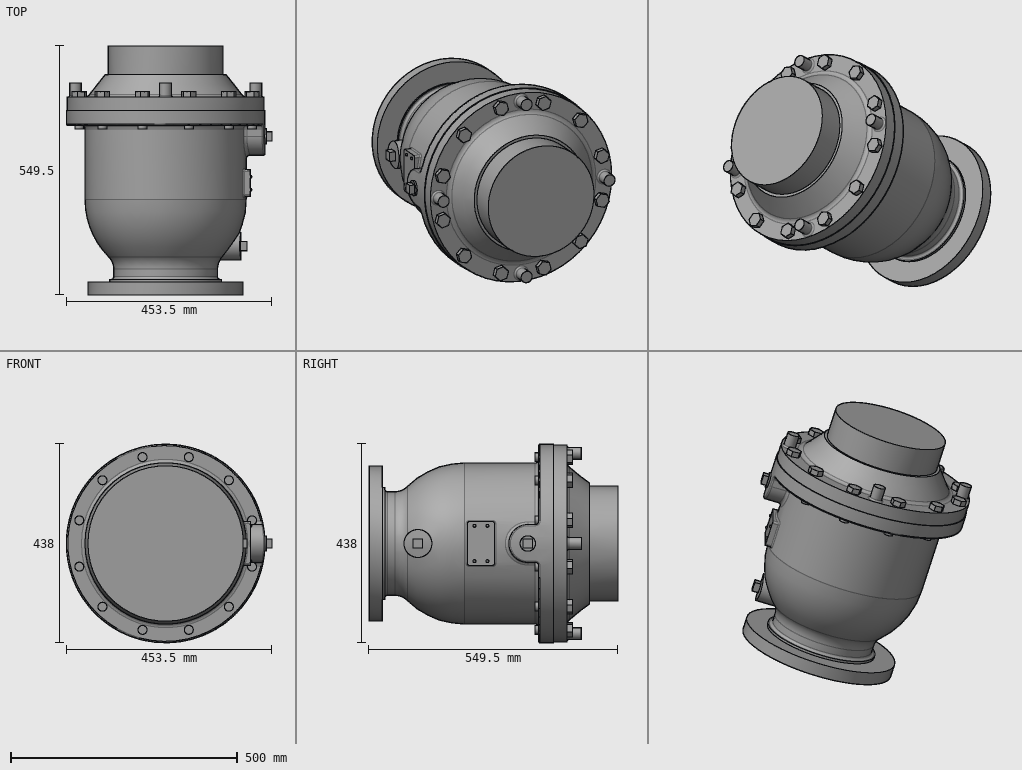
import cadquery as cq
import math

OVERALL_LENGTH = 549.5

OUTLET_RADIUS = 171.5
OUTLET_THICKNESS = 29.0
COLLAR_RADIUS = 123.5
COLLAR_THICKNESS = 5.5
COLLAR_FILLET = 6.0
NECK_LENGTH = 22.5
THROAT_RADIUS = 38.5

BARREL_RADIUS = 178.0
BOWL_ANGLE = math.radians(45)
FLANGE_FILLET = 7.5

JOINT_Y = 406.5
HOUSING_FLANGE_RADIUS = 219.0
HOUSING_FLANGE_THICKNESS = 32.5
HOUSING_RIM_ROUNDING = 3.5
COVER_FLANGE_RADIUS = 217.5
COVER_FLANGE_THICKNESS = 30.0
BOLT_COUNT = 12
BOLT_CIRCLE_RADIUS = 197.0
BOLT_RADIUS = 10.0
BOLT_PROTRUSION = 8.0
NUT_ACROSS_CORNERS = 33.0
NUT_HEIGHT = 12.0
PEG_COUNT = 4
PEG_RADIUS = 13.0
PEG_FILLET = 4.0
PEG_CIRCLE_RADIUS = 199.0
PEG_HEIGHT = 31.5

CONE_BASE_RADIUS = 172.5
CONE_TOP_RADIUS = 133.5
CONE_FILLET = 14.0
SPIGOT_RADIUS = 127.0
SPIGOT_LENGTH = 63.0

SHAFT_Y = 350.0
SHAFT_BOSS_RADIUS = 42.0
WASHER_RADIUS = 17.0
WASHER_THICKNESS = 3.5
SHAFT_END_X = 234.5

DRAIN_Y = 107.5
DRAIN_BOSS_RADIUS = 31.0
DRAIN_BOSS_REACH = 166.0
DRAIN_END_X = 179.5

PLUG_SIZE = 21.0

PAD_Y = 246.5
PAD_LENGTH = 59.5
PAD_WIDTH = 96.5
PAD_FACE_X = 187.0
PAD_CORNER_RADIUS = 4.5
PAD_FILLET = 3.5
RIVET_SPACING_Y = 28.5
RIVET_SPACING_Z = 78.0
RIVET_RADIUS = 3.5

TOLERANCE = 0.05
BOSS_START_X = 82.5
PAD_START_X = 154.0

collar_y = OUTLET_THICKNESS + COLLAR_THICKNESS
throat_start_y = collar_y + NECK_LENGTH
throat_end_y = throat_start_y + THROAT_RADIUS * math.sin(BOWL_ANGLE)
bowl_end_radius = BARREL_RADIUS * math.cos(BOWL_ANGLE)
neck_radius = bowl_end_radius - THROAT_RADIUS * (1 - math.cos(BOWL_ANGLE))
bowl_center_y = throat_end_y + BARREL_RADIUS * math.sin(BOWL_ANGLE)
flange_face_y = JOINT_Y - HOUSING_FLANGE_THICKNESS
cover_face_y = JOINT_Y + COVER_FLANGE_THICKNESS
spigot_y = OVERALL_LENGTH - SPIGOT_LENGTH


def plane_at_y(y):
    """Workplane square to the valve axis: local x is X, local y is Z, normal is -Y."""
    return cq.Workplane("XZ", origin=(0, y, 0))


def plane_at_x(x, y):
    """Workplane facing +X: local x is Y, local y is Z."""
    return cq.Workplane("YZ", origin=(x, y, 0))


def revolve_about_axis(profile):
    """Turned solid whose seam lies on the -X side, clear of the bosses."""
    return profile.close().revolve(360, (0, 0), (0, 1)).rotate((0, 0, 0), (0, 1, 0), 180)


def arc_point(center, radius, angle):
    return (center[0] + radius * math.cos(angle), center[1] + radius * math.sin(angle))


def bolt_pattern(y):
    return plane_at_y(y).polarArray(BOLT_CIRCLE_RADIUS, 180 / BOLT_COUNT, 360, BOLT_COUNT)


def is_circle(edge, radius):
    return edge.geomType() == "CIRCLE" and abs(edge.radius() - radius) < TOLERANCE



def turned_housing():
    collar_center = (neck_radius + COLLAR_FILLET, collar_y + COLLAR_FILLET)
    throat_center = (neck_radius + THROAT_RADIUS, throat_start_y)
    throat_mid = arc_point(throat_center, THROAT_RADIUS, math.pi - BOWL_ANGLE / 2)
    bowl_mid = arc_point((0, bowl_center_y), BARREL_RADIUS, -BOWL_ANGLE / 2)
    profile = (
        cq.Workplane("XY")
        .lineTo(OUTLET_RADIUS, 0)
        .lineTo(OUTLET_RADIUS, OUTLET_THICKNESS)
        .lineTo(COLLAR_RADIUS, OUTLET_THICKNESS)
        .lineTo(COLLAR_RADIUS, collar_y)
        .lineTo(collar_center[0], collar_y)
        .threePointArc(arc_point(collar_center, COLLAR_FILLET, math.radians(225)),
                       (neck_radius, collar_center[1]))
        .lineTo(neck_radius, throat_start_y)
        .threePointArc(throat_mid, (bowl_end_radius, throat_end_y))
        .threePointArc(bowl_mid, (BARREL_RADIUS, bowl_center_y))
        .lineTo(BARREL_RADIUS, flange_face_y)
        .lineTo(HOUSING_FLANGE_RADIUS, flange_face_y)
        .lineTo(HOUSING_FLANGE_RADIUS, JOINT_Y)
        .lineTo(0, JOINT_Y)
    )
    return revolve_about_axis(profile)


def boss_limit(radius):
    """Cylinder on the valve axis that rounds off the outer end of a side boss."""
    return plane_at_y(0).circle(radius).extrude(-JOINT_Y)


def shaft_boss():
    """Round-bottomed boss whose flat sides run up into the flange."""
    flat_length = flange_face_y - SHAFT_Y + HOUSING_FLANGE_THICKNESS / 2
    reach = HOUSING_FLANGE_RADIUS - BOSS_START_X
    start = plane_at_x(BOSS_START_X, SHAFT_Y)
    boss = start.circle(SHAFT_BOSS_RADIUS).extrude(reach)
    sides = (start.center(flat_length / 2, 0)
             .rect(flat_length, 2 * SHAFT_BOSS_RADIUS).extrude(reach))
    return boss.union(sides).intersect(boss_limit(HOUSING_FLANGE_RADIUS))


def on_flange_face(edge):
    return abs(edge.Center().y - flange_face_y) < TOLERANCE


def is_flange_root(edge):
    """Corner between the flange face and the barrel or the sides of the shaft boss."""
    if not on_flange_face(edge):
        return False
    return is_circle(edge, BARREL_RADIUS) or edge.geomType() == "LINE"


def is_shaft_boss_root(edge):
    """Corner between the shaft boss and the barrel."""
    center = edge.Center()
    on_barrel = BARREL_RADIUS - 5.5 < center.x < BARREL_RADIUS
    return on_barrel and bowl_center_y < center.y < flange_face_y


def is_barrel_corner(edge):
    return is_flange_root(edge) or is_shaft_boss_root(edge)


def is_flange_rim(edge):
    """Lower flange edge, apart from the stretch that runs flush into the shaft boss."""
    flush_x = HOUSING_FLANGE_RADIUS - 5.5
    return on_flange_face(edge) and is_circle(edge, HOUSING_FLANGE_RADIUS) and edge.Center().x < flush_x


def is_pad_root(edge):
    """Corner between the name plate pad and the barrel."""
    center = edge.Center()
    near_pad = abs(center.y - PAD_Y) < PAD_LENGTH / 2 + TOLERANCE
    on_barrel = edge.BoundingBox().xmax < BARREL_RADIUS + TOLERANCE
    return near_pad and on_barrel and PAD_START_X < center.x < BARREL_RADIUS


def square_end(y, base_x, end_x):
    return plane_at_x(base_x, y).rect(PLUG_SIZE, PLUG_SIZE).extrude(end_x - base_x)


def add_shaft(housing):
    washer_x = HOUSING_FLANGE_RADIUS + WASHER_THICKNESS
    washer = plane_at_x(BOSS_START_X, SHAFT_Y).circle(WASHER_RADIUS).extrude(washer_x - BOSS_START_X)
    return housing.union(washer).union(square_end(SHAFT_Y, washer_x, SHAFT_END_X))


def add_drain(housing):
    boss = plane_at_x(BOSS_START_X, DRAIN_Y).circle(DRAIN_BOSS_RADIUS).extrude(DRAIN_BOSS_REACH)
    boss = boss.intersect(boss_limit(DRAIN_BOSS_REACH))
    return housing.union(boss).union(square_end(DRAIN_Y, BOSS_START_X, DRAIN_END_X))


def name_plate_pad():
    return (plane_at_x(PAD_START_X, PAD_Y).rect(PAD_LENGTH, PAD_WIDTH)
            .extrude(PAD_FACE_X - PAD_START_X).edges("|X").fillet(PAD_CORNER_RADIUS))


def rivets():
    return (plane_at_x(PAD_FACE_X, PAD_Y).rect(RIVET_SPACING_Y, RIVET_SPACING_Z, forConstruction=True)
            .vertices().sphere(RIVET_RADIUS))


def make_housing():
    housing = turned_housing().union(shaft_boss())
    housing = housing.edges().filter(is_barrel_corner).fillet(FLANGE_FILLET)
    housing = housing.edges().filter(is_flange_rim).fillet(HOUSING_RIM_ROUNDING)
    housing = housing.union(name_plate_pad())
    housing = housing.edges().filter(is_pad_root).fillet(PAD_FILLET)
    housing = housing.union(rivets())
    housing = add_drain(housing)
    housing = add_shaft(housing)
    bolt_ends = bolt_pattern(flange_face_y).circle(BOLT_RADIUS).extrude(BOLT_PROTRUSION)
    return housing.union(bolt_ends)



def turned_cover():
    profile = (
        cq.Workplane("XY")
        .moveTo(0, JOINT_Y)
        .lineTo(COVER_FLANGE_RADIUS, JOINT_Y)
        .lineTo(COVER_FLANGE_RADIUS, cover_face_y)
        .lineTo(CONE_BASE_RADIUS, cover_face_y)
        .lineTo(CONE_TOP_RADIUS, spigot_y)
        .lineTo(SPIGOT_RADIUS, spigot_y)
        .lineTo(SPIGOT_RADIUS, OVERALL_LENGTH)
        .lineTo(0, OVERALL_LENGTH)
    )
    return revolve_about_axis(profile)


def on_cover_face(edge):
    return abs(edge.Center().y - cover_face_y) < TOLERANCE


def is_cone_root(edge):
    """Corner between the cone and the top of the cover flange."""
    return on_cover_face(edge) and is_circle(edge, CONE_BASE_RADIUS)


def is_peg_root(edge):
    """Corner between a peg and the top of the cover flange."""
    return on_cover_face(edge) and is_circle(edge, PEG_RADIUS)


def make_cover():
    cover = turned_cover().edges().filter(is_cone_root).fillet(CONE_FILLET)
    pegs = (plane_at_y(cover_face_y).polarArray(PEG_CIRCLE_RADIUS, 0, 360, PEG_COUNT)
            .circle(PEG_RADIUS).extrude(-PEG_HEIGHT))
    cover = cover.union(pegs).edges().filter(is_peg_root).fillet(PEG_FILLET)
    nuts = bolt_pattern(cover_face_y).polygon(6, NUT_ACROSS_CORNERS).extrude(-NUT_HEIGHT)
    return cover.union(nuts)


housing = make_housing()
cover = make_cover()

result = cq.Compound.makeCompound([housing.val(), cover.val()])